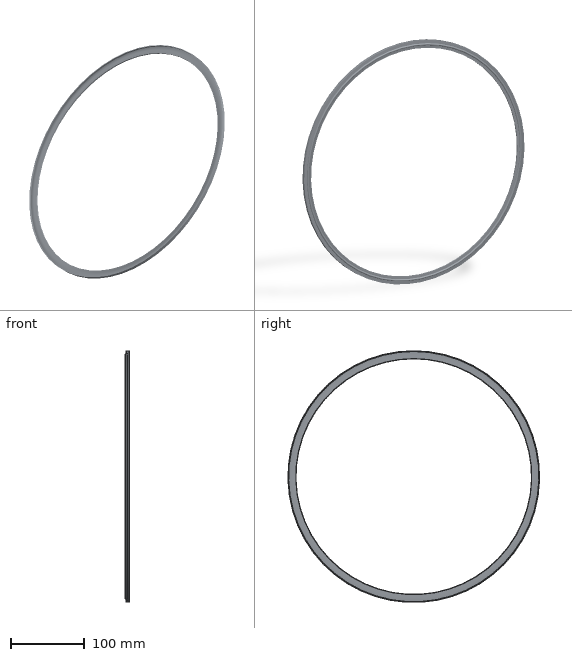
import cadquery as cq

outer_radius = 170.25
inner_radius = 159.35
overall_width = 5.8

bead_radius = 1.4
bead_center_radius = 164.5

plate_thickness = 2.0
skirt_thickness = 1.0

back_face_x = overall_width / 2
front_face_x = bead_radius - overall_width / 2
plate_back_x = front_face_x + plate_thickness
skirt_inner_radius = outer_radius - skirt_thickness


def ring_profile():
    """Radial cross-section: X is the ring axis, Z is the distance from it."""
    return (
        cq.Workplane("XZ")
        .moveTo(plate_back_x, inner_radius)
        .lineTo(plate_back_x, skirt_inner_radius)
        .lineTo(back_face_x, skirt_inner_radius)
        .lineTo(back_face_x, outer_radius)
        .lineTo(front_face_x, outer_radius)
        .lineTo(front_face_x, bead_center_radius + bead_radius)
        .threePointArc(
            (front_face_x - bead_radius, bead_center_radius),
            (front_face_x, bead_center_radius - bead_radius),
        )
        .lineTo(front_face_x, inner_radius)
        .close()
    )


result = ring_profile().revolve(360, (0, 0, 0), (1, 0, 0))